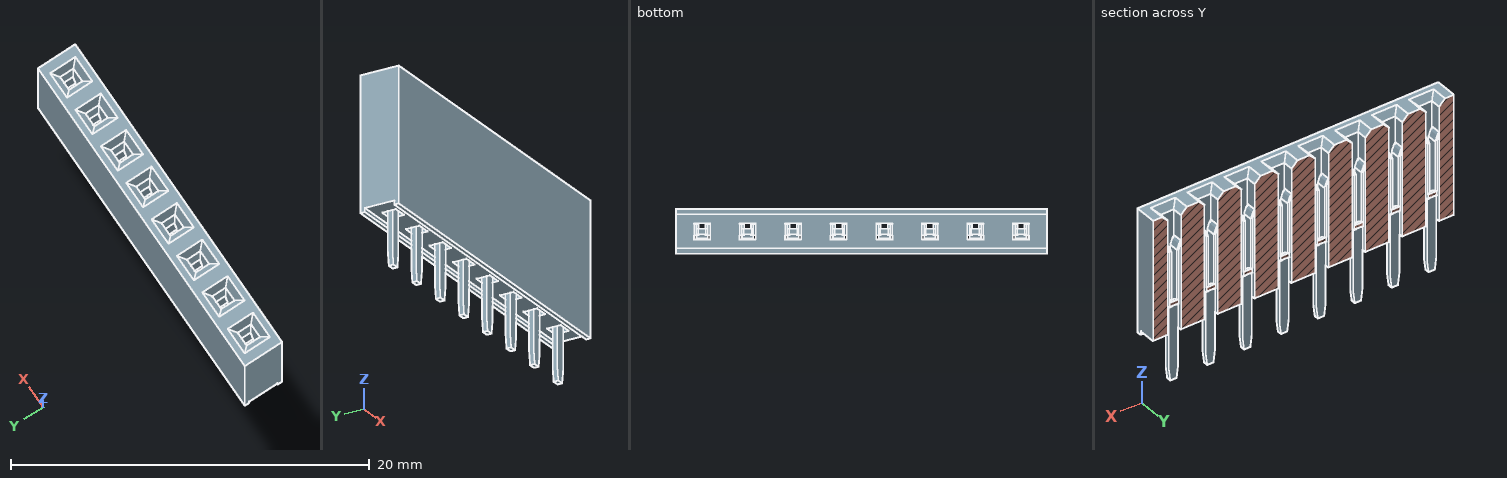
import cadquery as cq
import math


contact_count = 8
length = 20.72
depth = 2.5
height = 8.5
end_allowance = 0.4
pitch = (length - end_allowance) / contact_count

cavity_width = 0.9
funnel_width = 1.7
funnel_depth = (funnel_width - cavity_width) / 2

channel_width = 1.9
channel_depth = 0.25

leg_width = 0.65
leg_thickness = 0.31
leg_drop = 3.0
tip_width = 0.44
tip_length = 0.8

bend_height = 2.07
bend_radius = leg_thickness
shelf_slope = math.radians(10)
shelf_back = 0.41

arm_front = -0.41
arm_back = 0.23
arm_gap = 0.37
throat_height = 5.8
throat_flare = math.radians(20)
lip_flare = math.radians(34)


def socket_positions():
    """X of every contact, symmetric about the middle of the housing."""
    first = -(contact_count - 1) * pitch / 2
    return [first + i * pitch for i in range(contact_count)]


def make_cavity(x):
    """Square passage through the full height, with a funnel at the top."""
    passage = cq.Workplane("XY").center(x, 0).rect(cavity_width, cavity_width).extrude(height)
    funnel = (
        cq.Workplane("XY", origin=(x, 0, height - funnel_depth))
        .rect(cavity_width, cavity_width)
        .workplane(offset=funnel_depth)
        .rect(funnel_width, funnel_width)
        .loft(ruled=True)
    )
    return passage.union(funnel)


def make_housing():
    """Block with a channel along its underside and one cavity per contact."""
    body = cq.Workplane("XY").box(length, depth, height, centered=(True, True, False))
    channel = cq.Workplane("XY").box(length, channel_width, channel_depth, centered=(True, True, False))
    body = body.cut(channel)
    for x in socket_positions():
        body = body.cut(make_cavity(x))
    return body


def make_bent_strip():
    """Constant-thickness strip: straight leg, bend, and a gently rising shelf."""
    front = -leg_thickness / 2
    back = leg_thickness / 2

    def on_bend(normal_tilt):
        return (
            back - bend_radius * math.sin(normal_tilt),
            bend_height + bend_radius * math.cos(normal_tilt),
        )

    bend_middle = on_bend((math.pi / 2 + shelf_slope) / 2)
    bend_end = on_bend(shelf_slope)
    shelf_top = bend_end[1] + (shelf_back - bend_end[0]) * math.tan(shelf_slope)
    shelf_underside = bend_height + (shelf_back - back) * math.tan(shelf_slope)
    return (
        cq.Workplane("YZ", origin=(-leg_width / 2, 0, 0))
        .moveTo(front, -leg_drop)
        .lineTo(front, bend_height)
        .threePointArc(bend_middle, bend_end)
        .lineTo(shelf_back, shelf_top)
        .lineTo(shelf_back, shelf_underside)
        .lineTo(back, bend_height)
        .lineTo(back, -leg_drop)
        .close()
        .extrude(leg_width)
    )


def make_tip_cutter():
    """Wedge that narrows the +X side of the leg towards its tip."""
    return (
        cq.Workplane("XZ", origin=(0, leg_thickness / 2, 0))
        .moveTo(tip_width / 2, -leg_drop)
        .lineTo(leg_width / 2, tip_length - leg_drop)
        .lineTo(leg_width / 2, -leg_drop)
        .close()
        .extrude(leg_thickness)
    )


def make_arm():
    """Spring arm on the +X side, flaring in two steps until its lip meets the cavity wall."""
    inner = arm_gap / 2
    outer = leg_width / 2
    wall = cavity_width / 2
    lip_bottom = throat_height + (outer - inner) / math.tan(throat_flare)
    lip_top = lip_bottom + (wall - outer) / math.tan(lip_flare)
    return (
        cq.Workplane("XZ", origin=(0, arm_back, 0))
        .moveTo(inner, bend_height)
        .lineTo(inner, throat_height)
        .lineTo(outer, lip_bottom)
        .lineTo(wall, lip_top)
        .lineTo(outer, throat_height)
        .lineTo(outer, bend_height)
        .close()
        .extrude(arm_back - arm_front)
    )


def make_contact():
    """One contact centred on X = 0: bent strip, tapered tip and two mirrored arms."""
    tip_cutter = make_tip_cutter()
    arm = make_arm()
    strip = make_bent_strip().cut(tip_cutter).cut(tip_cutter.mirror("YZ"))
    return strip.union(arm).union(arm.mirror("YZ"))


housing = make_housing()
contact = make_contact()
contacts = [contact.translate((x, 0, 0)).val() for x in socket_positions()]

result = cq.Compound.makeCompound([housing.val(), *contacts])